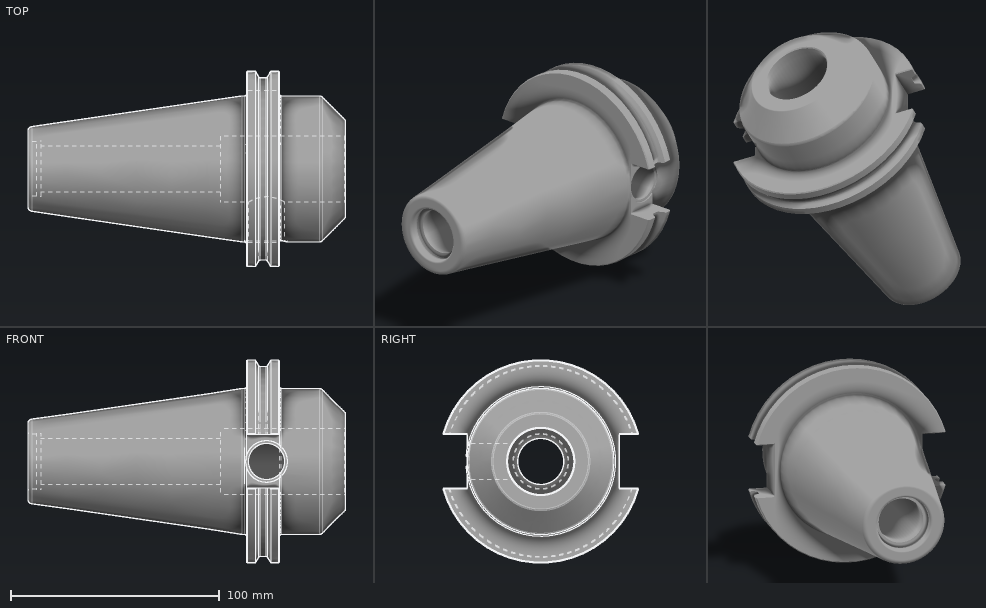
import cadquery as cq
import math


gauge_diameter = 69.85
taper_slope = 7 / 24 / 2
taper_length = 101.62
shank_end_rounding = 2.25
collar_diameter = 70.2

flange_diameter = 97.5
flange_start = 3.175
flange_width = 15.875
flange_edge_chamfer = 0.48
flange_root_rounding = 0.8

groove_center = 11.2
groove_floor_diameter = 91.25
groove_floor_width = 3.75
groove_wall_angle = 30.0
groove_floor_rounding = 0.8

slot_width = 25.7
slot_floor_front = 35.3
slot_floor_back = 37.7
drive_slots = ((-1, slot_floor_front), (1, slot_floor_back))

nose_diameter = collar_diameter
nose_face_diameter = 46.6
nose_end = 50.8
nose_chamfer_angle = 45.0
nose_shoulder_rounding = 2.0
nose_face_rounding = 1.0

through_diameter = 21.97
stud_bore_diameter = 26.2
stud_bore_depth = 6.2
stud_mouth_rounding = 1.2
relief_diameter = 26.7
relief_start = 4.2
tool_bore_diameter = 31.75
tool_bore_mouth_diameter = 32.75
tool_bore_depth = 60.0

screw_hole_x = 12.85
screw_hole_diameter = 17.32
screw_mouth_diameter = 20.0
screw_mouth_depth = 0.8

shank_end = -taper_length
flange_end = flange_start + flange_width
flange_radius = flange_diameter / 2
clearance = 1.0
tolerance = 0.01
arc_middle = 1 - math.sqrt(0.5)


def revolve_about_axis(outline):
    """Close an (x, radius) outline and turn it about the X axis."""
    return outline.close().revolve(360, (0, 0, 0), (1, 0, 0))


def turned(points):
    """Solid of revolution about X from straight-sided (x, radius) points."""
    return revolve_about_axis(cq.Workplane("XY").polyline(points))


def edges_at(solid, x, radius):
    """The circular edges around X at one station and radius."""

    def matches(edge):
        start = edge.startPoint()
        radius_here = math.hypot(start.y, start.z)
        on_circle = edge.geomType() == "CIRCLE"
        return on_circle and abs(start.x - x) < tolerance and abs(radius_here - radius) < tolerance

    return solid.newObject([edge for edge in solid.edges().vals() if matches(edge)])


def shank():
    """Tapered shank, running on past the gauge plane to a short collar behind the flange."""
    gauge_radius = gauge_diameter / 2
    collar_radius = collar_diameter / 2
    small_radius = gauge_radius - taper_length * taper_slope
    collar_start = (collar_radius - gauge_radius) / taper_slope
    body = turned(
        [
            (shank_end, 0),
            (shank_end, small_radius),
            (collar_start, collar_radius),
            (flange_start, collar_radius),
            (flange_start, 0),
        ]
    )
    return edges_at(body, shank_end, small_radius).fillet(shank_end_rounding)


def nose():
    """Cylindrical nose with a conical front and rounded corners."""
    nose_radius = nose_diameter / 2
    face_radius = nose_face_diameter / 2
    chamfer_length = (nose_radius - face_radius) / math.tan(math.radians(nose_chamfer_angle))
    chamfer_start = nose_end - chamfer_length
    body = turned(
        [
            (flange_end, 0),
            (flange_end, nose_radius),
            (chamfer_start, nose_radius),
            (nose_end, face_radius),
            (nose_end, 0),
        ]
    )
    body = edges_at(body, chamfer_start, nose_radius).fillet(nose_shoulder_rounding)
    return edges_at(body, nose_end, face_radius).fillet(nose_face_rounding)


def root_rounding(face_x, direction):
    """Ring that fills the corner between a flange face and the cylinder beside it."""
    root_radius = collar_diameter / 2
    rounding = flange_root_rounding
    arc_offset = rounding * arc_middle
    outline = (
        cq.Workplane("XY")
        .moveTo(face_x, root_radius + rounding)
        .threePointArc(
            (face_x + direction * arc_offset, root_radius + arc_offset),
            (face_x + direction * rounding, root_radius),
        )
        .lineTo(face_x + direction * rounding, root_radius - rounding)
        .lineTo(face_x, root_radius - rounding)
    )
    return revolve_about_axis(outline)


def gripper_groove():
    """Ring cut from the flange rim: sloping walls and a flat floor with rounded corners."""
    floor_radius = groove_floor_diameter / 2
    clear_radius = flange_radius + clearance
    half_floor = groove_floor_width / 2
    half_top = half_floor + (clear_radius - floor_radius) * math.tan(math.radians(groove_wall_angle))
    ring = turned(
        [
            (groove_center - half_floor, floor_radius),
            (groove_center - half_top, clear_radius),
            (groove_center + half_top, clear_radius),
            (groove_center + half_floor, floor_radius),
        ]
    )
    for side in (-1, 1):
        ring = edges_at(ring, groove_center + side * half_floor, floor_radius).fillet(groove_floor_rounding)
    return ring


def drive_slot(side, floor):
    """Slot straight through the flange along X, open to the rim on the +Y or -Y side."""
    depth = flange_radius + clearance - floor
    length = flange_width + 2 * clearance
    center = ((flange_start + flange_end) / 2, side * (floor + depth / 2), 0)
    return cq.Workplane("XY").box(length, depth, slot_width).translate(center)


def edges_meeting_rim(solid):
    """Edges that run along the flange rim or end on it; the slot floor edges do neither."""

    def on_rim(point):
        return math.hypot(point.y, point.z) > flange_radius - tolerance

    return [edge for edge in solid.edges().vals() if on_rim(edge.startPoint()) or on_rim(edge.endPoint())]


def flange():
    """Slotted disc with all rim and slot edges chamfered, then grooved."""
    body = turned(
        [
            (flange_start, 0),
            (flange_start, flange_radius),
            (flange_end, flange_radius),
            (flange_end, 0),
        ]
    )
    for side, floor in drive_slots:
        body = body.cut(drive_slot(side, floor))
    body = body.newObject(edges_meeting_rim(body)).chamfer(flange_edge_chamfer)
    return body.cut(gripper_groove())


def axial_bores():
    """Pull-stud bore with a relief, through hole and tool bore, as one turned cutter."""
    bore_radius = stud_bore_diameter / 2
    relief_radius = relief_diameter / 2
    tool_mouth_depth = (tool_bore_mouth_diameter - tool_bore_diameter) / 2
    arc_offset = stud_mouth_rounding * arc_middle
    tool_bore_start = nose_end - tool_bore_depth
    outline = (
        cq.Workplane("XY")
        .moveTo(shank_end, 0)
        .lineTo(shank_end, bore_radius + stud_mouth_rounding)
        .threePointArc(
            (shank_end + arc_offset, bore_radius + arc_offset),
            (shank_end + stud_mouth_rounding, bore_radius),
        )
        .lineTo(shank_end + relief_start, bore_radius)
        .lineTo(shank_end + relief_start, relief_radius)
        .lineTo(shank_end + stud_bore_depth, relief_radius)
        .lineTo(shank_end + stud_bore_depth, through_diameter / 2)
        .lineTo(tool_bore_start, through_diameter / 2)
        .lineTo(tool_bore_start, tool_bore_diameter / 2)
        .lineTo(nose_end - tool_mouth_depth, tool_bore_diameter / 2)
        .lineTo(nose_end, tool_bore_mouth_diameter / 2)
        .lineTo(nose_end, 0)
    )
    return revolve_about_axis(outline)


def screw_hole():
    """Clamping screw hole from -Y into the tool bore, with a shallow flat counterbore."""
    outside = flange_radius + clearance
    seat_y = screw_mouth_depth - slot_floor_front
    plane = cq.Workplane("XZ", origin=(screw_hole_x, 0, 0))
    hole = plane.circle(screw_hole_diameter / 2).extrude(outside)
    mouth = plane.workplane(offset=-seat_y).circle(screw_mouth_diameter / 2).extrude(outside + seat_y)
    return hole.union(mouth)


result = shank().union(flange()).union(nose())
for face_x, direction in ((flange_start, -1), (flange_end, 1)):
    result = result.union(root_rounding(face_x, direction))
result = result.cut(axial_bores()).cut(screw_hole())